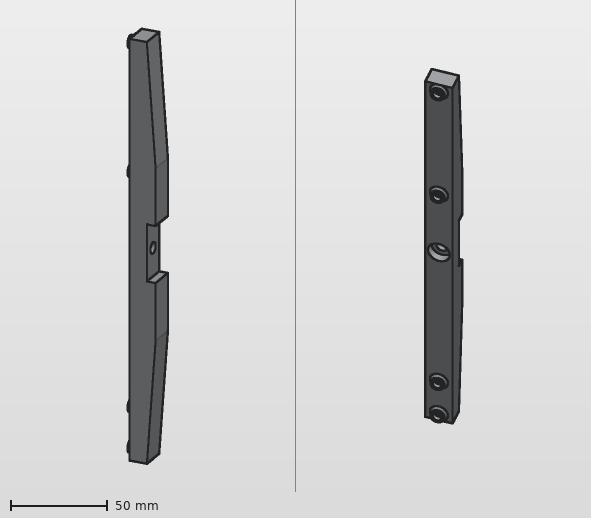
import cadquery as cq

bar_length = 237.0
bar_width = 15.0
bar_depth = 15.0
end_depth = 10.0
taper_length = 70.0
half_length = bar_length / 2

notch_length = 32.0
notch_depth = 5.0

hole_diameter = 6.2
counterbore_diameter = 12.0
counterbore_depth = 5.0

stud_height = 3.0
head_diameter = 7.0
collar_diameter = 10.0
collar_height = (collar_diameter - head_diameter) / 2
bore_diameter = 4.6

top_margin = 4.85
upper_margin = 77.25
lower_margin = 27.65
bottom_margin = 4.8
stud_centres = [
    half_length - top_margin,
    half_length - upper_margin,
    lower_margin - half_length,
    bottom_margin - half_length,
]


def make_bar():
    """Bar with both ends tapered on the back and a notch in the middle."""
    taper_start = half_length - taper_length
    half_notch = notch_length / 2
    notch_floor = bar_depth - notch_depth
    outline = [
        (0, -half_length),
        (end_depth, -half_length),
        (bar_depth, -taper_start),
        (bar_depth, -half_notch),
        (notch_floor, -half_notch),
        (notch_floor, half_notch),
        (bar_depth, half_notch),
        (bar_depth, taper_start),
        (end_depth, half_length),
        (0, half_length),
    ]
    return cq.Workplane("XZ").polyline(outline).close().extrude(bar_width / 2, both=True)


def make_hole():
    """Cutter for the through hole and its counterbore."""
    through = cq.Workplane("YZ").circle(hole_diameter / 2).extrude(bar_depth)
    counterbore = cq.Workplane("YZ").circle(counterbore_diameter / 2).extrude(counterbore_depth)
    return through.union(counterbore)


def make_stud(centre_z):
    """Stud turned about an axis along X, its bore ending level with the mounting face."""
    collar_radius = collar_diameter / 2
    head_radius = head_diameter / 2
    bore_radius = bore_diameter / 2
    half_section = [
        (0, bore_radius),
        (0, collar_radius),
        (-collar_height, head_radius),
        (-stud_height, head_radius),
        (-stud_height, bore_radius),
    ]
    axis_start = (0, 0)
    axis_end = (1, 0)
    stud = cq.Workplane("XY").polyline(half_section).close().revolve(360, axis_start, axis_end)
    return stud.translate((0, 0, centre_z))


def make_length_limit():
    """Block as long as the bar; it trims the end collars flush with the bar ends."""
    return cq.Workplane("XY").box(2 * stud_height, bar_width, bar_length)


result = make_bar().cut(make_hole())
length_limit = make_length_limit()
for stud_centre in stud_centres:
    result = result.union(make_stud(stud_centre).intersect(length_limit))